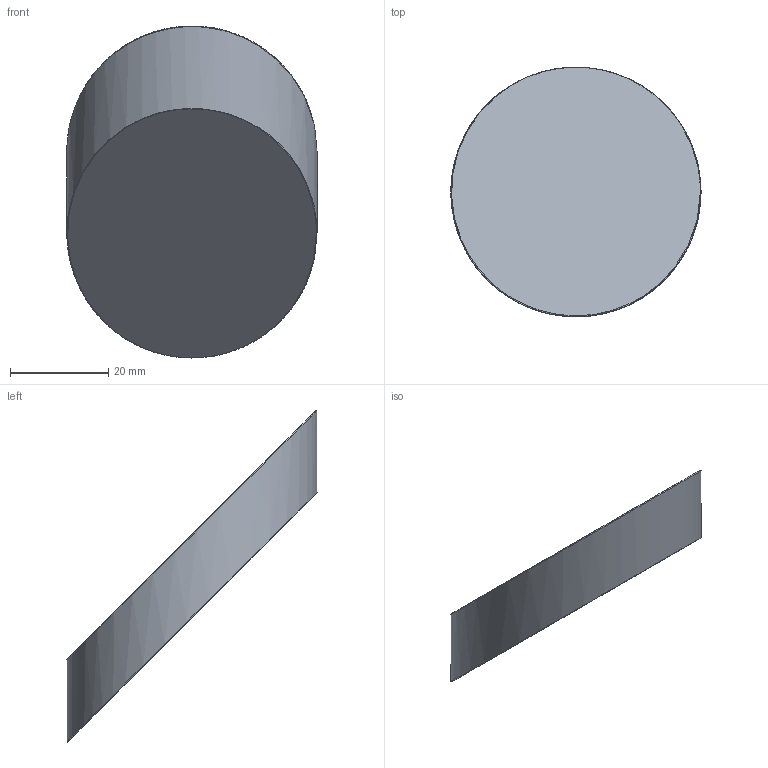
import cadquery as cq
import math

diameter = 50.8
thickness = 12.0
slope_angle = 45.0
rim_fillet = 0.125

radius = diameter / 2
slope = math.radians(slope_angle)
face_rise = diameter * math.tan(slope)
wall_height = thickness / math.cos(slope)


def mirror_blank():
    """Round bar with both ends cut on the slant, high at -Y and low at +Y."""
    side_profile = [
        (-radius, face_rise),
        (radius, 0),
        (radius, wall_height),
        (-radius, face_rise + wall_height),
    ]
    slab = cq.Workplane("YZ").polyline(side_profile).close().extrude(radius, both=True)
    bar = cq.Workplane("XY").circle(radius).extrude(face_rise + wall_height)
    return bar.intersect(slab)


def round_rims(body):
    """Round the elliptical rim of each slanted face."""
    return body.faces("%PLANE").edges().fillet(rim_fillet)


result = round_rims(mirror_blank()).translate((0, 0, -(face_rise + wall_height) / 2))